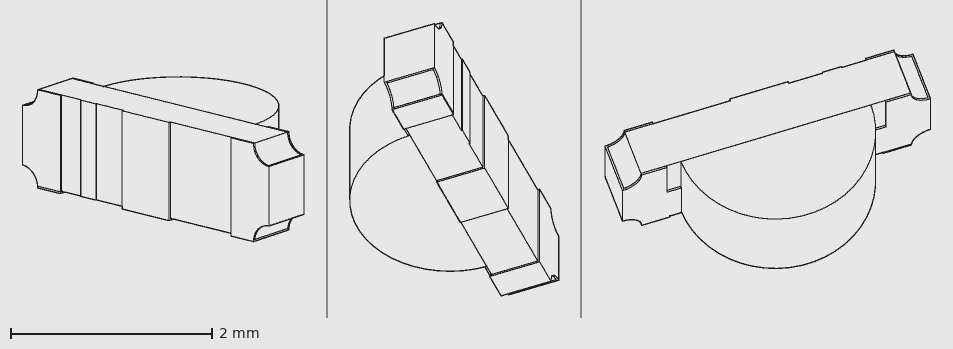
import cadquery as cq


TOTAL_LENGTH = 3.24
TOTAL_DEPTH = 1.5

PLATE = 0.02
TERMINAL_LENGTH = 0.5
BACK_TERMINAL_LENGTH = 0.47
CORNER_RADIUS = 0.2

HOUSING_LENGTH = TOTAL_LENGTH - 2 * PLATE
HOUSING_DEPTH = 0.5
HOUSING_HEIGHT = 1.0

PAD_WIDTH = 0.615
MARK_WIDTH = 0.205
MARK_CENTER_X = -0.765
MARK_THICKNESS = PLATE / 2

LENS_WIDTH = 2.0
LENS_DEPTH = TOTAL_DEPTH - HOUSING_DEPTH - PLATE

BACK_STEP_HEIGHT = HOUSING_HEIGHT / 2

HALF_LENGTH = TOTAL_LENGTH / 2
OUTER_DEPTH = HOUSING_DEPTH + 2 * PLATE


def box(x_range, y_range, z_range):
    """Axis-aligned box between the given limits."""
    (x0, x1), (y0, y1), (z0, z1) = x_range, y_range, z_range
    return cq.Workplane("XY").box(x1 - x0, y1 - y0, z1 - z0, centered=False).translate((x0, y0, z0))


def corner_notches():
    """Cylinders along y on the four end corners, cut from the housing and its plating."""
    corners = [(x, z) for x in (-HALF_LENGTH, HALF_LENGTH) for z in (-PLATE, HOUSING_HEIGHT)]
    return (
        cq.Workplane("XZ", origin=(0, -PLATE, 0))
        .pushPoints(corners)
        .circle(CORNER_RADIUS)
        .extrude(-OUTER_DEPTH)
    )


def make_housing():
    """Block with a middle pad around its front and underside, and a polarity mark on its front."""
    half = HOUSING_LENGTH / 2
    block = box((-half, half), (0, HOUSING_DEPTH), (0, HOUSING_HEIGHT))
    pad = box((-PAD_WIDTH / 2, PAD_WIDTH / 2), (-PLATE, HOUSING_DEPTH), (-PLATE, HOUSING_HEIGHT))
    mark_left = MARK_CENTER_X - MARK_WIDTH / 2
    mark = box((mark_left, mark_left + MARK_WIDTH), (-MARK_THICKNESS, HOUSING_DEPTH), (0, HOUSING_HEIGHT))
    return block.union(pad).union(mark).clean().cut(corner_notches())


def make_lens():
    """Half-round lens standing on the back face of the housing."""
    half = LENS_WIDTH / 2
    return (
        cq.Workplane("XY")
        .moveTo(-half, HOUSING_DEPTH)
        .threePointArc((0, HOUSING_DEPTH + LENS_DEPTH), (half, HOUSING_DEPTH))
        .close()
        .extrude(HOUSING_HEIGHT)
    )


def bottom_plate_block():
    """Uncut plate under the left end of the housing."""
    return box(
        (-HALF_LENGTH, -HALF_LENGTH + TERMINAL_LENGTH),
        (-PLATE, HOUSING_DEPTH + PLATE),
        (-PLATE, 0),
    )


def terminal_cap():
    """Left terminal without an underside: end wall, front plate and stepped back plate."""
    back = HOUSING_DEPTH
    full_height = (0, HOUSING_HEIGHT)
    end_wall = box((-HALF_LENGTH, -HALF_LENGTH + PLATE), (-PLATE, back + PLATE), full_height)
    front_plate = box((-HALF_LENGTH, -HALF_LENGTH + TERMINAL_LENGTH), (-PLATE, 0), full_height)
    back_plate = box((-HALF_LENGTH, -HALF_LENGTH + BACK_TERMINAL_LENGTH), (back, back + PLATE), full_height)
    back_step = box((-HALF_LENGTH, -LENS_WIDTH / 2), (back, back + PLATE), (0, BACK_STEP_HEIGHT))
    return end_wall.union(front_plate).union(back_plate).union(back_step)


def make_left_terminal():
    """Terminal that ends level with the underside of the housing."""
    return terminal_cap().cut(corner_notches())


def make_bottom_plate():
    """Separate solder plate under the left terminal and housing."""
    return bottom_plate_block().cut(corner_notches())


def make_right_terminal():
    """Mirrored terminal in one piece with the plate under the housing."""
    left_handed = terminal_cap().union(bottom_plate_block()).clean()
    return left_handed.mirror("YZ").cut(corner_notches())


housing = make_housing()
lens = make_lens()
left_terminal = make_left_terminal()
bottom_plate = make_bottom_plate()
right_terminal = make_right_terminal()

result = cq.Compound.makeCompound([
    housing.val(),
    lens.val(),
    left_terminal.val(),
    bottom_plate.val(),
    right_terminal.val(),
])